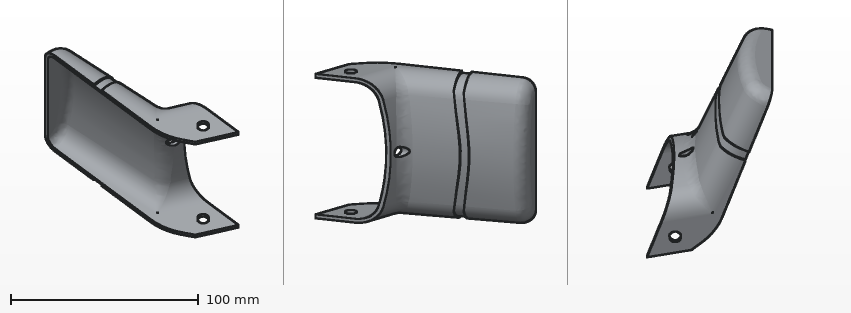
import cadquery as cq
import math

length = 114.0
depth = 29.4
width = 81.6
half_width = width / 2
wall = 2.3

hinge_x = 77.5
hinge_y = 4.8
body_angle = 4.0
neck_angle = 60.0
arch_height = 17.3
crown_radius = 125.4
elbow_radius = 12.0
end_fillet = 7.5
overrun = 171.0
margin = 1.1

bend_start_x = 77.1
bend_radius = 36.0
cheek_slope = 30.0
cheek_corner_x = 101.8

cheek_hole_diameter = 6.3
cheek_hole_x = 97.4
cheek_hole_y = 19.6
back_hole_diameter = 5.6
back_hole_y = 24.3
groove_depth = 1.1
groove_crown_lift = 0.8
groove_width = 5.6
groove_x = 35.9
groove_bend_y = 14.1
groove_lean = 6.0
groove_crown_y = 19.4
groove_bow_x = 1.8
groove_bow_y = 2.6

elbow_sections = 5
arch_points = 12
wedge_clip = 0.06
wedge_sink = 0.07

hinge = cq.Vector(hinge_x, hinge_y, 0)


def direction(angle):
    return cq.Vector(math.cos(math.radians(angle)), math.sin(math.radians(angle)), 0)


def arch_radii(inset):
    """Crown and shoulder radii of the arch, moved inward by inset."""
    drop = crown_radius - arch_height
    shoulder = (crown_radius**2 - drop**2 - half_width**2) / (2 * (crown_radius - half_width))
    return crown_radius - inset, shoulder - inset


def arch_tangent(inset):
    """Half width and height of the point where shoulder and crown meet."""
    crown, shoulder = arch_radii(inset)
    centre_z = half_width - inset - shoulder
    sine = centre_z / (crown - shoulder)
    return centre_z + shoulder * sine, shoulder * math.sqrt(1 - sine**2)


def arch_half_width(height, inset):
    """Half width of the arch at a height above the hinge."""
    crown, shoulder = arch_radii(inset)
    if height < arch_tangent(inset)[1]:
        return half_width - inset - shoulder + math.sqrt(shoulder**2 - height**2)
    rise = height + crown - (arch_height - inset)
    return math.sqrt(max(crown**2 - rise**2, 0))


def arch_prism(angle, inset):
    """Arched section with long legs, extruded both ways along the given direction."""
    shoulder = arch_radii(inset)[1]
    side = half_width - inset
    top = arch_height - inset
    join_z, join_y = arch_tangent(inset)
    middle = math.atan2(join_y, join_z - side + shoulder) / 2
    mid_z = side - shoulder + shoulder * math.cos(middle)
    mid_y = shoulder * math.sin(middle)
    plane = cq.Plane(origin=hinge.toTuple(), xDir=(0, 0, -1), normal=direction(angle).toTuple())
    return (
        cq.Workplane(plane)
        .moveTo(-side, -overrun)
        .lineTo(-side, 0)
        .threePointArc((-mid_z, mid_y), (-join_z, join_y))
        .threePointArc((0, top), (join_z, join_y))
        .threePointArc((mid_z, mid_y), (side, 0))
        .lineTo(side, -overrun)
        .close()
        .extrude(overrun, both=True)
    )


def elbow_section(tangent_angle, inset):
    """Arch in the plane holding the hinge line and one point of the elbow round."""
    half_turn = math.radians(neck_angle - body_angle) / 2
    top = arch_height - inset
    radius = elbow_radius + inset
    mid_direction = direction((body_angle + neck_angle) / 2 + 90)
    round_centre = mid_direction * ((top + radius - wedge_sink) / math.cos(half_turn))
    crown_point = round_centre - direction(tangent_angle + 90) * radius

    side_points = []
    for i in range(arch_points + 1):
        share = wedge_clip + (1 - wedge_clip) * math.sin(math.pi / 2 * i / arch_points)
        z = arch_half_width(share * top, inset)
        side_points.append(hinge + crown_point * share + cq.Vector(0, 0, z))
    mirrored = [cq.Vector(p.x, p.y, -p.z) for p in reversed(side_points[:-1])]
    points = side_points + mirrored
    return cq.Wire.assembleEdges(
        [cq.Edge.makeSpline(points), cq.Edge.makeLine(points[-1], points[0])]
    )


def elbow_wedge(inset):
    """Concave round between body and neck, fading out at the hinge."""
    step = (neck_angle - body_angle) / (elbow_sections - 1)
    sections = [elbow_section(body_angle + i * step, inset) for i in range(elbow_sections)]
    return cq.Workplane(cq.Solid.makeLoft(sections))


def arched_form(inset):
    """Solid bounded by the arched skin, cut square and rounded at the closed end."""
    end_cut = cq.Workplane().box(length, overrun, overrun, centered=(False, True, True))
    body = arch_prism(body_angle, inset).intersect(end_cut.translate((inset, 0, 0)))
    body = body.faces("<X").edges("not <Y").fillet(end_fillet - inset)
    neck = arch_prism(neck_angle, inset).intersect(end_cut.translate((inset, 0, 0)))
    floor = cq.Workplane().box(2 * length, overrun, overrun).translate((0, overrun / 2 - margin, 0))
    return body.intersect(floor).union(neck.intersect(floor)).union(elbow_wedge(inset))


def cheek_outline():
    """Side silhouette, full width."""
    slope = math.radians(cheek_slope)
    bend_end_x = bend_start_x + bend_radius * math.sin(slope)
    bend_end_y = bend_radius * (1 - math.cos(slope))
    bend_mid_x = bend_start_x + bend_radius * math.sin(slope / 2)
    bend_mid_y = bend_radius * (1 - math.cos(slope / 2))
    corner_y = bend_end_y + (cheek_corner_x - bend_end_x) * math.tan(slope)
    return (
        cq.Workplane()
        .lineTo(bend_start_x, 0)
        .threePointArc((bend_mid_x, bend_mid_y), (bend_end_x, bend_end_y))
        .lineTo(cheek_corner_x, corner_y)
        .lineTo(length, depth)
        .lineTo(0, depth)
        .close()
        .extrude(half_width, both=True)
    )


def groove():
    """Band round the outside, leaning towards the closed end over the crown."""
    right = groove_x + groove_width
    bow_y = groove_bend_y + groove_bow_y
    band = (
        cq.Workplane()
        .moveTo(groove_x, -margin)
        .lineTo(groove_x, groove_bend_y)
        .threePointArc((groove_x - groove_bow_x, bow_y), (groove_x - groove_lean, groove_crown_y))
        .lineTo(right - groove_lean, groove_crown_y)
        .threePointArc((right - groove_bow_x, bow_y), (right, groove_bend_y))
        .lineTo(right, -margin)
        .close()
        .extrude(half_width, both=True)
    )
    groove_floor = arch_prism(body_angle, groove_depth).translate((0, groove_crown_lift, 0))
    return band.cut(groove_floor)


cheek_holes = (
    cq.Workplane()
    .center(cheek_hole_x, cheek_hole_y)
    .circle(cheek_hole_diameter / 2)
    .extrude(half_width, both=True)
)
back_hole = (
    cq.Workplane("YZ")
    .center(back_hole_y, 0)
    .circle(back_hole_diameter / 2)
    .extrude(length)
)

shell = cheek_outline().intersect(arched_form(0)).cut(arched_form(wall))
result = shell.cut(groove()).cut(cheek_holes).cut(back_hole)